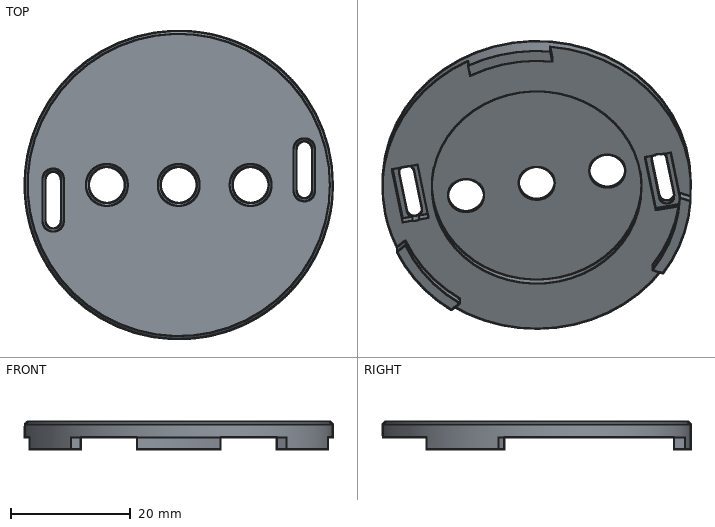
import cadquery as cq

disc_diameter = 51.6
total_height = 4.7
tab_height = 2.0
disc_thickness = total_height - tab_height
edge_chamfer = 0.5

hole_diameter = 6.0
hole_spacing = 12.0
hole_count = 3

slot_width = 2.55
slot_length = 9.5
slot_x = 21.0
slot_y = 2.55

floor_thickness = 1.0
hole_recess_diameter = 35.1
slot_pocket_width = 4.4
slot_pocket_length = 9.85
slot_pocket_y = 2.85
left_pocket_roof = 1.8
right_pocket_roof = floor_thickness

tab_width = 14.0
tab_inner_diameter = 47.95
tab_count = 3
first_tab_angle = 90.0


def make_blank():
    """Full-height disc with a chamfered upper rim; the tabs fill the part below Z = 0."""
    blank = cq.Workplane("XY").workplane(offset=-tab_height)
    blank = blank.circle(disc_diameter / 2).extrude(total_height)
    return blank.faces(">Z").edges().chamfer(edge_chamfer)


def cut_around_tabs(body):
    """Clear the layer below Z = 0 except for parallel-sided tabs along the rim."""
    base = cq.Workplane("XY").workplane(offset=-tab_height)
    waste = base.circle(disc_diameter).extrude(tab_height)
    for index in range(tab_count):
        angle = first_tab_angle + index * 360 / tab_count
        strip = base.center(disc_diameter / 2, 0).rect(disc_diameter, tab_width).extrude(tab_height)
        waste = waste.cut(strip.rotate((0, 0, 0), (0, 0, 1), angle))
    inner_waste = base.circle(tab_inner_diameter / 2).extrude(tab_height)
    return body.cut(waste).cut(inner_waste)


def cut_openings(body):
    """Cut the round holes and the slots through the disc and chamfer their upper edges."""
    holes = (
        cq.Workplane("XY")
        .rarray(hole_spacing, 0.5, hole_count, 1)
        .circle(hole_diameter / 2)
        .extrude(disc_thickness)
    )
    slots = (
        cq.Workplane("XY")
        .pushPoints([(-slot_x, -slot_y), (slot_x, slot_y)])
        .slot2D(slot_length, slot_width, 90)
        .extrude(disc_thickness)
    )
    body = body.cut(holes).cut(slots)
    top_face = body.faces(">Z").val()
    opening_edges = [edge for wire in top_face.innerWires() for edge in wire.Edges()]
    return body.newObject(opening_edges).chamfer(edge_chamfer)


def make_slot_pocket(side, roof_thickness):
    """Rectangular pocket under one slot; side is -1 for the left slot, 1 for the right."""
    return (
        cq.Workplane("XY")
        .center(side * slot_x, side * slot_pocket_y)
        .rect(slot_pocket_width, slot_pocket_length)
        .extrude(disc_thickness - roof_thickness)
    )


def cut_recesses(body):
    """Thin the disc from below around the holes and the slots."""
    hole_recess = (
        cq.Workplane("XY")
        .circle(hole_recess_diameter / 2)
        .extrude(disc_thickness - floor_thickness)
    )
    body = body.cut(hole_recess)
    body = body.cut(make_slot_pocket(-1, left_pocket_roof))
    return body.cut(make_slot_pocket(1, right_pocket_roof))


result = cut_recesses(cut_openings(cut_around_tabs(make_blank())))